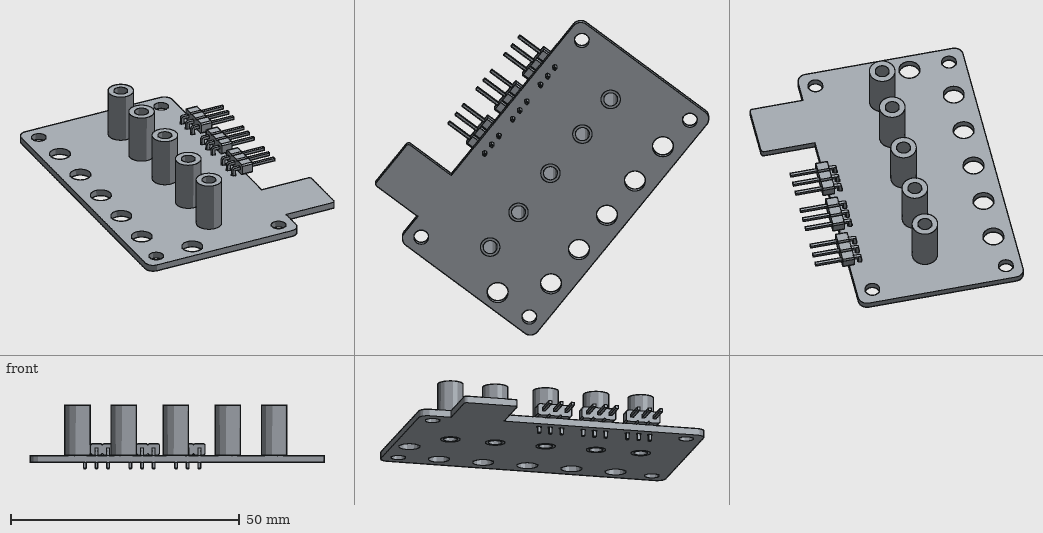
import cadquery as cq


total_length = 64.5
total_width = 49.0
total_height = 14.0

tab_length = 12.0
tab_width = 12.0
tab_center_x = 19.4
board_width = total_width - tab_length
seating_height = 1.6
seating_gap = 0.095
board_thickness = seating_height - seating_gap
board_corner_radius = 2.0
tab_corner_radius = 0.61

mount_hole_diameter = 3.2
mount_hole_spacing_x = 57.4
mount_hole_spacing_y = 30.0

large_hole_diameter = 4.6
row_pitch = 10.0
row_hole_count = 5
row_center_x = -0.25
row_y = -14.05
side_hole_position = (28.5, -6.05)

spacer_diameter = 5.6
spacer_bore_diameter = 3.0
spacer_shank_diameter = 4.25
spacer_height = 10.95
spacer_y = 1.7
spacer_center_x = -0.3
spacer_inner_offset = 11.4
spacer_outer_offset = 21.55

header_count = 3
pins_per_header = 3
pin_row_span = 5.1
pin_pitch = pin_row_span / (pins_per_header - 1)
pin_size = 0.65
pin_hole_diameter = 1.0
pin_bend_radius = 0.6
pin_tip_chamfer = 0.16
pin_reach = 5.95
block_chamfer = 0.3
block_center_y = 18.7
leg_y = 15.9

row_start_x = row_center_x - (row_hole_count - 1) / 2 * row_pitch
row_points = [(row_start_x + i * row_pitch, row_y) for i in range(row_hole_count)]
spacer_offsets = (
    -spacer_outer_offset,
    -spacer_inner_offset,
    0,
    spacer_inner_offset,
    spacer_outer_offset,
)
spacer_points = [(spacer_center_x + offset, spacer_y) for offset in spacer_offsets]
pin_offsets = [i * pin_pitch for i in range(pins_per_header)]
header_start_xs = [row_start_x + i * row_pitch for i in range(header_count)]
pin_points = [(start_x + offset, leg_y) for start_x in header_start_xs for offset in pin_offsets]


def make_board():
    """Rounded plate with a tab on its rear edge and all of its through holes."""
    plate = (
        cq.Workplane("XY")
        .box(total_length, board_width, board_thickness, centered=(True, True, False))
        .edges("|Z")
        .fillet(board_corner_radius)
    )
    tab = (
        cq.Workplane("XY")
        .center(tab_center_x, 0)
        .box(tab_width, board_width / 2 + tab_length, board_thickness, centered=(True, False, False))
        .edges("|Z and >Y")
        .fillet(tab_corner_radius)
    )
    board = plate.union(tab).translate((0, 0, -seating_height))

    board = (
        board.faces(">Z")
        .workplane(origin=(0, 0, 0))
        .rect(mount_hole_spacing_x, mount_hole_spacing_y, forConstruction=True)
        .vertices()
        .hole(mount_hole_diameter)
    )
    hole_groups = (
        (row_points + [side_hole_position], large_hole_diameter),
        (spacer_points, spacer_shank_diameter),
        (pin_points, pin_hole_diameter),
    )
    for points, diameter in hole_groups:
        board = board.faces(">Z").workplane(origin=(0, 0, 0)).pushPoints(points).hole(diameter)
    return board


def make_spacer(point):
    """Tube above the board with a narrower shank that fills its board hole, bored right through."""
    return (
        cq.Workplane("XY")
        .center(*point)
        .circle(spacer_diameter / 2)
        .extrude(spacer_height)
        .faces("<Z")
        .workplane()
        .circle(spacer_shank_diameter / 2)
        .extrude(seating_height)
        .faces(">Z")
        .workplane()
        .hole(spacer_bore_diameter)
    )


def make_pin(x):
    """Square wire running along Y through the block, then bent down through the board."""
    half = pin_size / 2
    axis_z = pin_pitch / 2
    rear_y = block_center_y + pin_pitch / 2 + pin_reach
    tip_z = spacer_height - total_height
    return (
        cq.Workplane("YZ", origin=(x - half, 0, 0))
        .moveTo(rear_y, axis_z + half)
        .lineTo(leg_y - half, axis_z + half)
        .lineTo(leg_y - half, tip_z)
        .lineTo(leg_y + half, tip_z)
        .lineTo(leg_y + half, axis_z - half)
        .lineTo(rear_y, axis_z - half)
        .close()
        .extrude(pin_size)
        .edges("|X and <Y and >Z")
        .fillet(pin_bend_radius)
        .faces("<Z")
        .chamfer(pin_tip_chamfer)
    )


def make_header(start_x):
    """Row of chamfered square blocks with one bent pin through each, as a single body."""
    header = None
    for offset in pin_offsets:
        x = start_x + offset
        block = (
            cq.Workplane("XY")
            .box(pin_pitch, pin_pitch, pin_pitch)
            .edges("|Y")
            .chamfer(block_chamfer)
            .translate((x, block_center_y, pin_pitch / 2))
        )
        unit = block.union(make_pin(x))
        header = unit if header is None else header.union(unit)
    return header


board = make_board()
spacers = [make_spacer(point) for point in spacer_points]
headers = [make_header(start_x) for start_x in header_start_xs]

result = cq.Compound.makeCompound(
    [board.solids().val()]
    + [spacer.solids().val() for spacer in spacers]
    + [header.solids().val() for header in headers]
)